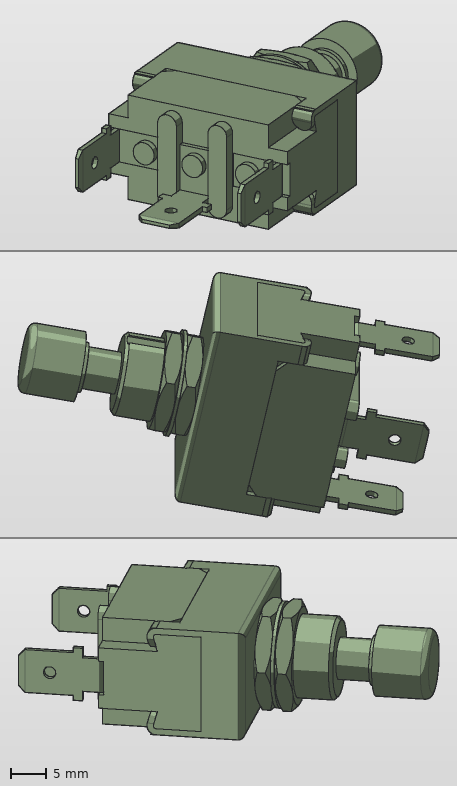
import cadquery as cq
import math


width = 28.8
height = 16.0
base_depth = 21.0
sheet = 0.9
side_wall_depth = 6.25
window_width = 22.6
window_start = 9.85
land_corner_x = 1.7
land_corner_y = 1.4

bend_radius = 1.35
bend_start = 12.7
overbend = math.radians(15)
tab_drop = 3.25
notch_depth = 3.5
tab_width = (width - window_width) / 2

rib_width = 3.0
rib_length = 14.15
rib_height = 1.75
rib_offset = 4.05

cap_radius = 5.05
cap_front = 24.55
cap_back = 16.55
cap_edge_radius = 1.0
collar_radius = 3.6
collar_back = 15.85
stem_radius = 3.0
bushing_radius = 6.0
bushing_front = 11.0
bushing_chamfer = 0.5
keyway_width = 2.0
keyway_floor = 5.7

nut_flats = 14.05
nut_thickness = 2.45
nut_chamfer_angle = math.radians(30)
washer_radius = 7.6
washer_thickness = 0.5

metal = 0.75
strip_width = 5.05
rivet_radius = 1.7
rivet_height = 1.0
rivet_to_blade = 5.2
rivet_to_strip_end = 2.5
neck_length = 2.5
ear_end = 3.8
shoulder_end = 10.75
blade_length = 11.7
ear_span = 7.9
blade_width = 6.45
tip_width = 4.4
tip_thickness = 0.5
blade_hole_radius = 0.85
blade_hole_position = 7.2
side_rivet_offset = 8.25


def block(x_span, y_span, z_span):
    """Box between the given (low, high) limits."""
    spans = (x_span, y_span, z_span)
    size = [high - low for low, high in spans]
    return cq.Workplane().box(*size, centered=False).translate(tuple(low for low, high in spans))


def disc(radius, y_back, y_front):
    """Cylinder on the button axis."""
    thickness = y_front - y_back
    return cq.Workplane("XZ", origin=(0, y_front, 0)).circle(radius).extrude(thickness)


def at_four_corners(corner):
    """The +X +Z corner feature together with its mirror images."""
    upper = corner.union(corner.mirror("YZ"))
    return upper.union(upper.mirror("XY"))


bend_center_z = height / 2 - bend_radius


def bend_point(radius, angle):
    """(Y, Z) on the tab's bend; angle 0 points outward along Z and grows toward -Y."""
    return -bend_start - radius * math.sin(angle), bend_center_z + radius * math.cos(angle)


def lean(point, z_level):
    """(Y, Z) reached by following the tab's lean from a point down to a level."""
    y, z = point
    return y + (z - z_level) * math.tan(overbend), z_level


bend_end_angle = math.pi / 2 + overbend
inner_radius = bend_radius - sheet
inner_bend_end = bend_point(inner_radius, bend_end_angle)
outer_bend_end = bend_point(bend_radius, bend_end_angle)


def bent_tab():
    """Overbent tab at the +X +Z corner, with a fully rounded tip."""
    tip_z = height / 2 - tab_drop
    strip = (
        cq.Workplane("YZ", origin=(window_width / 2, 0, 0))
        .moveTo(*bend_point(bend_radius, 0))
        .threePointArc(bend_point(bend_radius, bend_end_angle / 2), outer_bend_end)
        .lineTo(*lean(outer_bend_end, tip_z))
        .lineTo(*lean(inner_bend_end, tip_z))
        .lineTo(*inner_bend_end)
        .threePointArc(bend_point(inner_radius, bend_end_angle / 2), bend_point(inner_radius, 0))
        .close()
        .extrude(tab_width)
    )
    round_z = tip_z + tab_width / 2
    rounded_outline = (
        cq.Workplane("XZ")
        .moveTo(window_width / 2, height / 2)
        .lineTo(window_width / 2, round_z)
        .threePointArc(((window_width + tab_width) / 2, tip_z), (width / 2, round_z))
        .lineTo(width / 2, height / 2)
        .close()
        .extrude(base_depth)
    )
    return strip.intersect(rounded_outline)


def make_frame():
    """Sheet frame that wraps the base, with open rear, side walls and clamping tabs."""
    half_x, half_z = width / 2, height / 2
    frame = block((-half_x, half_x), (-bend_start, 0), (-half_z, half_z))
    frame = frame.faces(">Y").edges().fillet(sheet)
    frame = frame.cut(
        block((sheet - half_x, half_x - sheet), (-base_depth, -sheet), (sheet - half_z, half_z - sheet))
    )
    frame = frame.cut(
        block((-half_x, half_x), (-base_depth, -side_wall_depth), (sheet - half_z, half_z - sheet))
    )
    half_window = window_width / 2
    frame = frame.cut(
        block((-half_window, half_window), (-base_depth, -window_start), (-half_z, half_z))
    )
    return frame.union(at_four_corners(bent_tab()))


def make_button():
    """Threaded bushing with the button's stem, collar and cap."""
    bushing = disc(bushing_radius, 0, bushing_front).faces(">Y").chamfer(bushing_chamfer)
    keyway = block(
        (-bushing_radius, -keyway_floor),
        (0, bushing_front),
        (-keyway_width / 2, keyway_width / 2),
    )
    stem = disc(stem_radius, bushing_front, collar_back)
    collar = disc(collar_radius, collar_back, cap_back)
    cap = disc(cap_radius, cap_back, cap_front).faces(">Y").edges().fillet(cap_edge_radius)
    return bushing.cut(keyway).union(stem).union(collar).union(cap)


def corner_notch():
    """Space behind the +X +Z tab; its front wall continues the tab's inner face."""
    floor_z = height / 2 - notch_depth
    return (
        cq.Workplane("YZ", origin=(window_width / 2, 0, 0))
        .moveTo(*lean(inner_bend_end, floor_z))
        .lineTo(*lean(inner_bend_end, height / 2))
        .lineTo(-base_depth, height / 2)
        .lineTo(-base_depth, floor_z)
        .close()
        .extrude(tab_width)
    )


def clipped_corner():
    """Clipped corner of the +X +Z land, as deep as the frame sheet."""
    return (
        cq.Workplane("XY", origin=(0, 0, height / 2 - sheet))
        .moveTo(window_width / 2, -window_start)
        .lineTo(window_width / 2 - land_corner_x, -window_start)
        .lineTo(window_width / 2, -window_start - land_corner_y)
        .close()
        .extrude(sheet)
    )


def make_base(frame):
    """Insulating base that fills the frame and carries the terminals."""
    half_x, half_z = width / 2, height / 2
    base = block((-half_x, half_x), (-base_depth, -sheet), (-half_z, half_z))
    base = base.cut(at_four_corners(corner_notch())).cut(at_four_corners(clipped_corner()))
    ribs = (
        cq.Workplane("XZ", origin=(0, -base_depth, 0))
        .pushPoints([(-rib_offset, 0), (rib_offset, 0)])
        .slot2D(rib_length, rib_width, 90)
        .extrude(rib_height)
    )
    base = base.union(ribs)
    recess_end = side_rivet_offset - rivet_to_strip_end
    for x_span in ((-half_x, -recess_end), (recess_end, half_x)):
        recess = block(x_span, (-base_depth, metal - base_depth), (-strip_width / 2, strip_width / 2))
        base = base.cut(recess)
    return base.cut(frame)


def make_nut(y_back):
    """Hexagon nut with corners on the X axis, chamfered on both faces."""
    y_front = y_back + nut_thickness
    corner_diameter = nut_flats / math.cos(math.pi / 6)
    hexagon = (
        cq.Workplane("XZ", origin=(0, y_front, 0)).polygon(6, corner_diameter).extrude(nut_thickness)
    )
    corner_radius = corner_diameter / 2
    chamfer_depth = (corner_radius - nut_flats / 2) * math.tan(nut_chamfer_angle)
    chamfered_disc = (
        disc(corner_radius, y_back, y_front)
        .faces("<Y or >Y")
        .edges()
        .chamfer(chamfer_depth, corner_radius - nut_flats / 2)
    )
    return hexagon.intersect(chamfered_disc).cut(disc(bushing_radius, y_back, y_front))


def make_washer():
    y_front = nut_thickness + washer_thickness
    washer = disc(washer_radius, nut_thickness, y_front)
    return washer.cut(disc(bushing_radius, nut_thickness, y_front))


def make_terminal():
    """Angled terminal: foot strip with rivet head at the origin, blade below it pointing to -Y."""
    strip = block(
        (-strip_width / 2, strip_width / 2), (0, metal), (-rivet_to_blade, rivet_to_strip_end)
    )
    rivet = cq.Workplane("XZ").circle(rivet_radius).extrude(rivet_height)

    half_outline = [
        (strip_width / 2, 0),
        (strip_width / 2, -neck_length),
        (ear_span / 2, -neck_length),
        (ear_span / 2, -ear_end),
        (blade_width / 2, -ear_end),
        (blade_width / 2, -shoulder_end),
        (tip_width / 2, -blade_length),
    ]
    other_half = [(-x, y) for x, y in reversed(half_outline)]
    blade = (
        cq.Workplane("XY", origin=(0, 0, -rivet_to_blade))
        .polyline(half_outline + other_half)
        .close()
        .extrude(metal)
        .cut(
            cq.Workplane("XY", origin=(0, -blade_hole_position, -rivet_to_blade))
            .circle(blade_hole_radius)
            .extrude(metal)
        )
    )
    tip_bevel = (metal - tip_thickness) / 2
    side_profile = (
        cq.Workplane("YZ", origin=(-ear_span / 2, 0, -rivet_to_blade))
        .polyline([
            (0, 0),
            (-shoulder_end, 0),
            (-blade_length, tip_bevel),
            (-blade_length, metal - tip_bevel),
            (-shoulder_end, metal),
            (0, metal),
        ])
        .close()
        .extrude(ear_span)
    )
    angle = strip.union(blade.intersect(side_profile))
    outer_bend = cq.selectors.NearestToPointSelector((0, metal, -rivet_to_blade))
    return angle.edges(outer_bend).fillet(metal).union(rivet)


def make_terminals():
    """Centre terminal lying on the base face, and two side ones sunk flush into it."""
    y_axis = ((0, 0, 0), (0, 1, 0))
    terminals = [make_terminal().translate((0, -base_depth - metal, 0))]
    for side in (-1, 1):
        turned = make_terminal().rotate(*y_axis, -90 * side)
        terminals.append(turned.translate((side * side_rivet_offset, -base_depth, 0)))
    return terminals


frame = make_frame().union(make_button())
terminals = make_terminals()
base = make_base(frame)
nuts = [make_nut(y_back) for y_back in (0, nut_thickness + washer_thickness)]
washer = make_washer()

bodies = [frame, base, washer, *nuts, *terminals]
result = cq.Compound.makeCompound([body.val() for body in bodies])